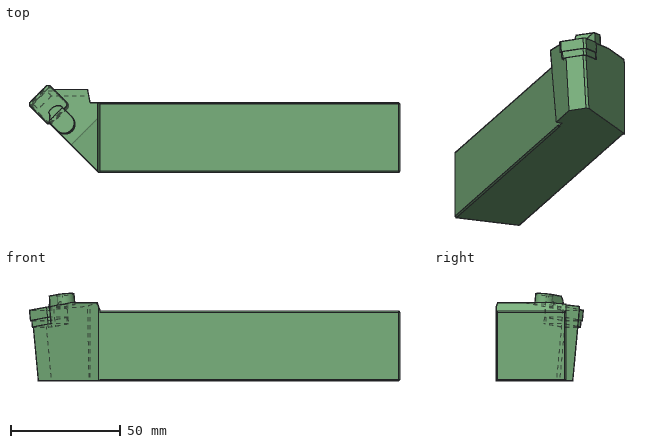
import cadquery as cq
import math

overall_length = 170.0
shank_size = 32.1
shank_start = 32.5
shank_chamfer = 0.7

head_height = 35.9
front_corner_x = 31.8
end_face_offset = 6.0
nose_chamfer = 1.0
back_face_y = 38.2
back_face_end_x = 26.7
back_step_x = 27.9
rear_wall_top_x = 31.1
head_reach = 51.0

seat_tilt = math.radians(7.5)
insert_y = 31.5
insert_top_z = 33.2

insert_side = 13.3
insert_thickness = 4.8
insert_chamfer = 1.0
shim_side = 12.4
shim_thickness = 3.0
shim_chamfer = 1.0

clamp_radius = 4.6
clamp_height = 5.0
clamp_end_x = 12.0
clamp_centre_y = -1.0
clamp_nose_x = 2.5
clamp_nose_y = 0.3
clamp_nose_end_x = 5.1
clamp_shoulder_x = 2.9
clamp_shoulder_y = -2.5
clamp_relief_x = 7.0
clamp_relief_depth = 2.5
clamp_slope_x = 6.5

diagonal = math.sqrt(0.5)
insert_half = insert_side / 2
insert_x = ((insert_half - insert_chamfer) * math.cos(seat_tilt) + insert_half) * diagonal

seat = cq.Plane(
    origin=(insert_x, insert_y, insert_top_z),
    xDir=(math.cos(seat_tilt) * diagonal, -math.cos(seat_tilt) * diagonal, math.sin(seat_tilt)),
    normal=(-math.sin(seat_tilt) * diagonal, math.sin(seat_tilt) * diagonal, math.cos(seat_tilt)),
)
front_face_offset = (front_corner_x - insert_x - insert_y) * diagonal


def seat_point(x, y):
    """Seat coordinates of the point on the seat plane above plan position (x, y)."""
    along = ((x - insert_x) - (y - insert_y)) * diagonal / math.cos(seat_tilt)
    across = ((x - insert_x) + (y - insert_y)) * diagonal
    return along, across


def chamfered_plate(side, thickness, depth, chamfer):
    """Square plate on the seat with all four corners cut off."""
    half = side / 2
    inner = half - chamfer
    outline = [
        (-inner, -half), (inner, -half), (half, -inner), (half, inner),
        (inner, half), (-inner, half), (-half, inner), (-half, -inner),
    ]
    return cq.Workplane(seat).workplane(offset=-depth).polyline(outline).close().extrude(-thickness)


def make_shank():
    shank = cq.Workplane("XY").box(
        overall_length - shank_start, shank_size, shank_size, centered=False
    )
    shank = shank.translate((shank_start, 0, 0))
    return shank.edges("|X or >X").chamfer(shank_chamfer)


def make_head():
    end_back_y = (back_face_y - insert_y) / diagonal - end_face_offset * math.cos(seat_tilt)
    leaning = (
        cq.Workplane(seat)
        .polyline([
            (-end_face_offset, front_face_offset + nose_chamfer),
            (-end_face_offset + nose_chamfer, front_face_offset),
            (head_reach, front_face_offset),
            seat_point(head_reach, back_face_y),
            (-end_face_offset, end_back_y),
        ])
        .close()
        .extrude(-head_reach)
    )
    core_front_x = front_corner_x / 2
    core = (
        cq.Workplane("XY")
        .polyline([
            (front_corner_x, 0), (shank_start, 0), (shank_start, shank_size),
            (core_front_x, shank_size), (core_front_x, front_corner_x - core_front_x),
        ])
        .close()
        .extrude(shank_size)
    )
    back_step = (
        cq.Workplane("XY")
        .polyline([
            (back_face_end_x, back_face_y), (back_step_x, shank_size),
            (head_reach, shank_size), (head_reach, back_face_y),
        ])
        .close()
        .extrude(head_height)
    )
    limits = (
        cq.Workplane("XZ")
        .polyline([
            (0, 0), (shank_start, 0), (shank_start, shank_size),
            (rear_wall_top_x, head_height), (0, head_height),
        ])
        .close()
        .extrude(-head_reach)
    )
    return leaning.union(core).intersect(limits).cut(back_step)


def make_pocket():
    """Room for the insert and the shim, with the inner corner cut like the insert."""
    pocket_depth = insert_thickness + shim_thickness
    pocket = cq.Workplane(seat).rect(insert_side, insert_side).extrude(-pocket_depth)
    corner = cq.selectors.NearestToPointSelector(
        seat.toWorldCoords((insert_half, insert_half, -pocket_depth / 2)).toTuple()
    )
    return pocket.edges(corner).chamfer(insert_chamfer)


def make_clamp():
    low_y = clamp_centre_y - clamp_radius
    high_y = clamp_centre_y + clamp_radius
    clamp = (
        cq.Workplane(seat)
        .moveTo(clamp_relief_x, low_y)
        .lineTo(clamp_end_x, low_y)
        .threePointArc((clamp_end_x + clamp_radius, clamp_centre_y), (clamp_end_x, high_y))
        .lineTo(clamp_nose_end_x, high_y)
        .threePointArc((clamp_nose_x, clamp_nose_y), (clamp_shoulder_x, clamp_shoulder_y))
        .lineTo(clamp_relief_x - clamp_relief_depth, low_y + clamp_relief_depth)
        .close()
        .extrude(clamp_height)
    )
    side_plane = cq.Plane(
        origin=seat.toWorldCoords((0, low_y, 0)).toTuple(), xDir=seat.xDir, normal=-seat.yDir
    )
    nose_cut = (
        cq.Workplane(side_plane)
        .polyline([(clamp_nose_x, 0), (clamp_slope_x, clamp_height), (0, clamp_height), (0, 0)])
        .close()
        .extrude(-2 * clamp_radius)
    )
    return clamp.cut(nose_cut)


def make_holder():
    shim = chamfered_plate(shim_side, shim_thickness, insert_thickness, shim_chamfer)
    head = make_head().cut(make_pocket()).union(shim)
    return head.union(make_shank()).union(make_clamp())


insert = chamfered_plate(insert_side, insert_thickness, 0, insert_chamfer)
holder = make_holder()

result = cq.Compound.makeCompound([holder.val(), insert.val()])